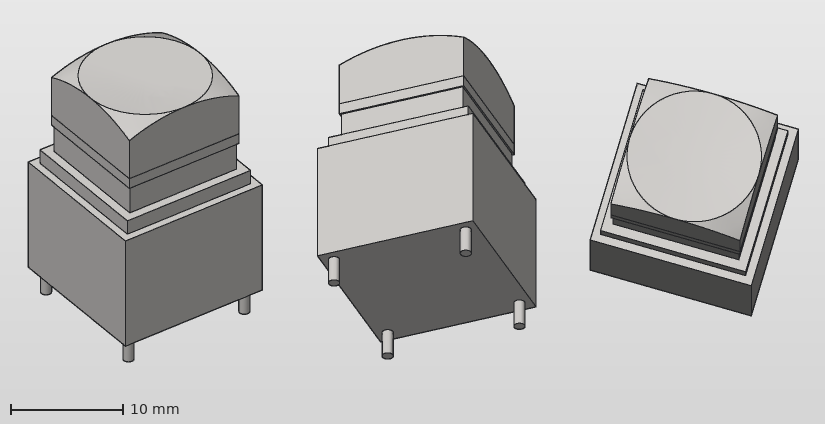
import cadquery as cq
import math

housing_width = 15.0
collar_width = 13.49
plunger_width = 11.7
cap_width = 12.0

housing_bottom = 2.5
housing_top = 14.0
collar_top = 15.45
plunger_top = 18.28
diffuser_top = 19.35
lens_top = 24.7

pin_diameter = 1.01
pin_pitch = 12.7

corner_drop = 1.2
dish_depth = 0.32


def square_block(width, bottom, top):
    """Square block centred on the Z axis between two heights."""
    return cq.Workplane("XY").workplane(offset=bottom).rect(width, width).extrude(top - bottom)


def make_housing():
    """Switch housing with its stepped collar and four terminal pins."""
    pins = (
        cq.Workplane("XY")
        .rect(pin_pitch, pin_pitch, forConstruction=True)
        .vertices()
        .circle(pin_diameter / 2)
        .extrude(housing_bottom)
    )
    body = square_block(housing_width, housing_bottom, housing_top)
    collar = square_block(collar_width, housing_top, collar_top)
    return body.union(collar).union(pins)


def make_plunger():
    """Square plunger standing on the collar."""
    return square_block(plunger_width, collar_top, plunger_top)


def make_diffuser():
    """Thin square plate between the plunger and the lens."""
    return square_block(cap_width, plunger_top, diffuser_top)


def make_lens():
    """Square lens with domed corners around a round, concave finger dish."""
    rim_radius = cap_width / 2
    corner_radius = math.hypot(rim_radius, rim_radius)

    side_arc_radius = (rim_radius**2 + corner_drop**2) / (2 * corner_drop)
    crown_radius = math.hypot(side_arc_radius, rim_radius)
    crown_centre = lens_top - side_arc_radius

    flank_radius = (rim_radius + corner_radius) / 2
    flank_height = crown_centre + math.sqrt(crown_radius**2 - flank_radius**2)

    dish_radius = (rim_radius**2 + dish_depth**2) / (2 * dish_depth)
    dish_bottom = lens_top - dish_depth
    dish_middle = rim_radius / 2
    dish_middle_height = dish_bottom + dish_radius - math.sqrt(dish_radius**2 - dish_middle**2)

    crown = (
        cq.Workplane("XZ")
        .moveTo(0, diffuser_top)
        .lineTo(corner_radius, diffuser_top)
        .lineTo(corner_radius, lens_top - corner_drop)
        .threePointArc((flank_radius, flank_height), (rim_radius, lens_top))
        .threePointArc((dish_middle, dish_middle_height), (0, dish_bottom))
        .close()
        .revolve(360, (0, 0, 0), (0, 1, 0))
    )
    return square_block(cap_width, diffuser_top, lens_top).intersect(crown)


housing = make_housing().solids()
plunger = make_plunger()
diffuser = make_diffuser()
lens = make_lens().solids()

result = cq.Compound.makeCompound([housing.val(), plunger.val(), diffuser.val(), lens.val()])